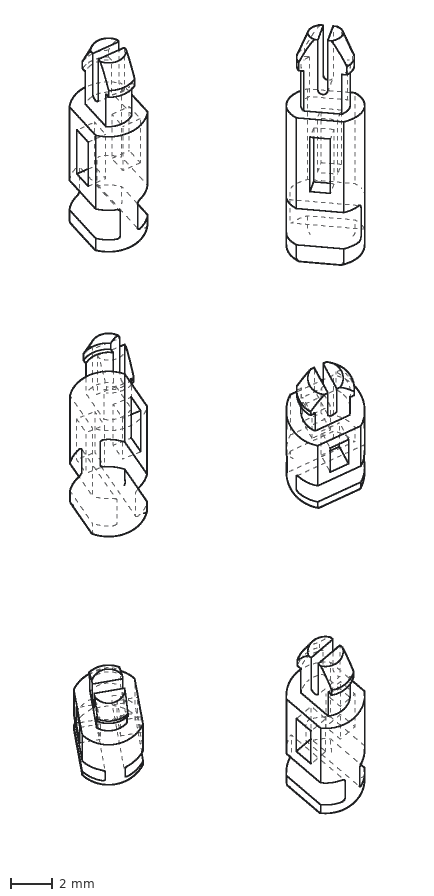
import cadquery as cq

body_diameter = 3.8
body_thickness = 3.0
body_top = 8.0
round_base_radius = 0.3
flat_base_radius = 0.2

web_thickness = 1.0
web_bottom = 1.0
web_top = 3.0
web_fillet = 0.2

pocket_width = 1.0
pocket_bottom = 4.0
pocket_top = 7.0
pocket_depth = (body_thickness - web_thickness) / 2

stem_diameter = 2.4
stem_thickness = 1.5
barb_diameter = 2.81
barb_bottom = 10.2
cone_bottom = 10.65
tip_diameter = 1.72
total_height = 12.0
slot_width = 0.48
slot_bottom = 9.0


def box_between(width, depth, bottom, top):
    """Box centred on the Z axis, spanning the given heights."""
    height = top - bottom
    return cq.Workplane("XY").box(width, depth, height, centered=(True, True, False)).translate((0, 0, bottom))


def make_body():
    bar = cq.Workplane("XY").circle(body_diameter / 2).extrude(body_top)
    bar = bar.faces("<Z").edges().fillet(round_base_radius)
    flats = box_between(body_diameter, body_thickness, 0, body_top)
    flats = flats.faces("<Z").edges("|X").fillet(flat_base_radius)
    return bar.intersect(flats)


def make_web_cutter(side):
    """Cutter for one side of the web, rounded where it meets the web."""
    depth = (body_diameter - web_thickness) / 2
    cutter = box_between(body_diameter, depth, web_bottom, web_top)
    cutter = cutter.translate((0, side * (web_thickness + depth) / 2, 0))
    inner_face = "<Y" if side > 0 else ">Y"
    return cutter.faces(inner_face).edges("|X").fillet(web_fillet)


def make_pocket_cutter(side):
    cutter = box_between(pocket_width, pocket_depth, pocket_bottom, pocket_top)
    return cutter.translate((0, side * (body_thickness - pocket_depth) / 2, 0))


def make_slot_cutter():
    """Open-topped slot with a half-round bottom."""
    radius = slot_width / 2
    outline = (
        cq.Workplane("XZ")
        .moveTo(-radius, total_height)
        .lineTo(-radius, slot_bottom + radius)
        .threePointArc((0, slot_bottom), (radius, slot_bottom + radius))
        .lineTo(radius, total_height)
        .close()
    )
    return outline.extrude(stem_thickness / 2, both=True)


def make_stem():
    profile = [
        (0, body_top),
        (stem_diameter / 2, body_top),
        (stem_diameter / 2, barb_bottom),
        (barb_diameter / 2, barb_bottom),
        (barb_diameter / 2, cone_bottom),
        (tip_diameter / 2, total_height),
        (0, total_height),
    ]
    stem = cq.Workplane("XZ").polyline(profile).close().revolve(360, (0, 0, 0), (0, 1, 0))
    stem = stem.intersect(box_between(barb_diameter, stem_thickness, body_top, total_height))
    return stem.cut(make_slot_cutter())


body = make_body()
for side in (-1, 1):
    body = body.cut(make_web_cutter(side))
    body = body.cut(make_pocket_cutter(side))

result = body.union(make_stem())